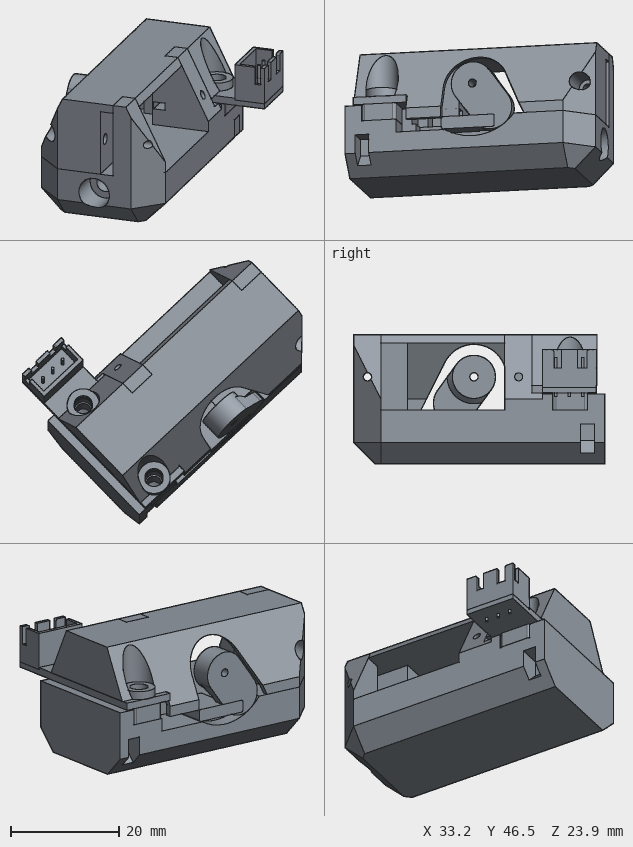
import cadquery as cq
import math

LENGTH = 46.5
WIDTH = 24.5
HEIGHT = 23.9
BOTTOM_CHAMFER = 3.9
FRONT_CHAMFER = 5.0
SHOULDER_Z = 12.0
TOP_INSET = 6.0
MIDDLE_X = WIDTH / 2
SLOPE_RUN = TOP_INSET / (HEIGHT - SHOULDER_Z)

SPLIT_Z = 10.0
COVER_END_Y = 45.05
DECK_TOP = 12.95
RIM_X = 20.45
CAVITY_X = 13.5
FOOT_SKIN = 0.25
ROOM_START_Y = 10.0
ROOM_RIB_X = 9.9
SHELL = 1.05
CAVITY_TOP = 22.35
CAVITY_END_Y = 33.0
TAB_X = 16.0
FRONT_TAB_END = FRONT_CHAMFER
REAR_TAB_START = 27.95

BOARD_RIGHT = 33.0
BOARD_Y = 34.9
BOARD_DEPTH = 10.0
BOARD_Z = 13.1
BOARD_TOP = 14.5
SCREW_ROW_Y = 40.1
SUPPORT_WIDTH = 6.5
SUPPORT_CORNER = 0.6
SUPPORT_START_Y = SCREW_ROW_Y - SUPPORT_WIDTH / 2
SUPPORT_END_Y = SCREW_ROW_Y + SUPPORT_WIDTH / 2
BOSS_DIAMETER = 6.0
BOSS_OVERHANG = 0.25
SCREW_INSET = BOSS_DIAMETER / 2 - BOSS_OVERHANG
BOSS_TOP = 16.1
BOARD_HOLE = 3.4
PILOT_HOLE = 2.8
PILOT_BOTTOM = 4.65
DRILL_TIP = 0.85
SCREW_CENTRES = [SCREW_INSET, WIDTH - SCREW_INSET]

CONN_LEFT = 27.15
CONN_BOTTOM = 14.15
CONN_TOP = 21.1
CONN_FLOOR = 15.35
CONN_BACK_WALL = 0.8
CONN_END_WALL = 0.65
CONN_FACE_WALL = 0.75
CONN_SLOT_WIDTH = 1.15
CONN_SLOT_Z = 17.75
FACE_GAPS = [(37.05, 38.5), (41.45, 43.2)]
FACE_ROUND = 0.35
CONTACT_X = 30.1
CONTACT_PITCH = 2.5
CONTACT_DIAMETER = 0.5
CONTACT_BOTTOM = 12.4
CONTACT_TOP = 19.65

PIVOT_Y = 22.27
PIVOT_Z = 16.1
PIVOT_HOLE = 1.5
LEVER_RADIUS = 4.0
LEVER_REACH = 6.0
LEVER_LEAN = 36.0
HUB_DEPTH = 4.15
ARM_ROOT_DEPTH = 3.0
ARM_DEPTH = 2.05
WINDOW_RADIUS = 6.0
SWEEP_RADIUS = 10.0

BLOCK_START_Y = 18.1
BLOCK_END_Y = 28.2
BLOCK_BOTTOM = 7.65
BLOCK_DEPTH = 8.0
BLOCK_ROUND = 0.35
POCKET_FLOOR = 7.55
POCKET_START_Y = 21.65
POCKET_STEP_Y = 34.15
POCKET_END_Y = 36.85
POCKET_SHALLOW = 5.0

SCREW_Z = PIVOT_Z
FRONT_SCREW_Y = 2.55
REAR_SCREW_Y = 30.55
SCREW_HEAD = 3.5
SCREW_CLEARANCE = 2.0
SCREW_PILOT = 1.5
SCREW_HEAD_DEPTH = 10.0
BORE_Z = 6.0
BORE_STEPS = [(6.0, 6.0), (3.4, 13.95), (2.5, 27.9)]
TIE_Y = 42.0
TIE_WIDTH = 2.55
TIE_TOP = 7.4
TIE_OUTER_Z = 1.95
TIE_RISE = 2.32


def box(x0, x1, y0, y1, z0, z1):
    """A box between the given limits."""
    return cq.Workplane("XY").box(x1 - x0, y1 - y0, z1 - z0, centered=False).translate((x0, y0, z0))


def cylinder_x(diameter, x0, x1, y, z):
    return cq.Workplane("YZ", origin=(x0, y, z)).circle(diameter / 2).extrude(x1 - x0)


def cylinder_y(diameter, y0, y1, x, z):
    return cq.Workplane("XZ", origin=(x, y0, z)).circle(diameter / 2).extrude(y0 - y1)


def cylinder_z(diameter, z0, z1, x, y):
    return cq.Workplane("XY", origin=(x, y, z0)).circle(diameter / 2).extrude(z1 - z0)


def make_plan(inset):
    """Outline seen along Z, with both front corners cut and the sides and front moved in."""
    return [
        (FRONT_CHAMFER, inset), (WIDTH - FRONT_CHAMFER, inset), (WIDTH - inset, FRONT_CHAMFER),
        (WIDTH - inset, LENGTH), (inset, LENGTH), (inset, FRONT_CHAMFER),
    ]


def make_envelope():
    """Outer shape shared by the base and the cover."""
    foot = (
        cq.Workplane("XY").polyline(make_plan(BOTTOM_CHAMFER)).close()
        .workplane(offset=BOTTOM_CHAMFER).polyline(make_plan(0)).close().loft(ruled=True)
    )
    section = [
        (0, BOTTOM_CHAMFER), (WIDTH, BOTTOM_CHAMFER), (WIDTH, SHOULDER_Z),
        (WIDTH - TOP_INSET, HEIGHT), (TOP_INSET, HEIGHT), (0, SHOULDER_Z),
    ]
    upper = cq.Workplane("XZ").polyline(section).close().extrude(-LENGTH)
    upper = upper.intersect(cq.Workplane("XY").polyline(make_plan(0)).close().extrude(HEIGHT))
    return foot.union(upper)


def make_tabs():
    """Upright tabs of the base that the cross screws enter; the rear one has a slotted foot."""
    front = box(TAB_X, WIDTH, 0, FRONT_TAB_END, SPLIT_Z, HEIGHT)
    rear = box(TAB_X, WIDTH, REAR_TAB_START, CAVITY_END_Y, SPLIT_Z, HEIGHT)
    foot = box(CAVITY_X, TAB_X, REAR_TAB_START, CAVITY_END_Y, SPLIT_Z, CAVITY_TOP)
    slot = box(CAVITY_X + FOOT_SKIN, TAB_X, REAR_TAB_START, CAVITY_END_Y, BOARD_Z, BOARD_TOP)
    return front.union(rear).union(foot.cut(slot))


def make_board_support():
    """Bar with rounded corners that carries the board across the full width."""
    bar = box(0, WIDTH, SUPPORT_START_Y, SUPPORT_END_Y, SPLIT_Z, BOARD_Z)
    bar = bar.edges("|Z").fillet(SUPPORT_CORNER)
    for x in SCREW_CENTRES:
        bar = bar.cut(cylinder_z(BOARD_HOLE, SPLIT_Z, BOARD_Z, x, SCREW_ROW_Y))
    return bar


def make_slider_block():
    """Round-edged block that narrows to a finger in the arm recess."""
    block = box(0, BLOCK_DEPTH, BLOCK_START_Y, BLOCK_END_Y, BLOCK_BOTTOM, SPLIT_Z)
    block = block.edges("|X").fillet(BLOCK_ROUND)
    return block.cut(box(ARM_ROOT_DEPTH, BLOCK_DEPTH, BLOCK_START_Y, POCKET_START_Y, BLOCK_BOTTOM, SPLIT_Z))


def make_tie_slots():
    """Slots in both long sides with a floor square to the bottom chamfer."""
    outer_x = BOTTOM_CHAMFER - TIE_OUTER_Z
    inner_x = outer_x + TIE_RISE
    section = [
        (0, TIE_TOP), (inner_x, TIE_TOP), (inner_x, TIE_OUTER_Z + TIE_RISE), (outer_x, TIE_OUTER_Z), (0, 0),
    ]
    left = cq.Workplane("XZ", origin=(0, TIE_Y, 0)).polyline(section).close().extrude(-TIE_WIDTH)
    right = left.mirror("YZ").translate((WIDTH, 0, 0))
    return left.union(right)


def make_arm_recess():
    """Round recess for the swinging arm, below the parting."""
    recess = cylinder_x(2 * SWEEP_RADIUS, 0, ARM_ROOT_DEPTH, PIVOT_Y, PIVOT_Z)
    return recess.intersect(box(0, ARM_ROOT_DEPTH, 0, LENGTH, 0, SPLIT_Z))


def make_block_pocket():
    """Pocket for the slider block that runs back to the board support."""
    pocket = box(0, BLOCK_DEPTH, POCKET_START_Y, POCKET_STEP_Y, POCKET_FLOOR, SPLIT_Z)
    return pocket.union(box(0, POCKET_SHALLOW, POCKET_STEP_Y, POCKET_END_Y, POCKET_FLOOR, DECK_TOP))


def make_pilot_holes():
    """Blind screw holes with a drill tip under the support bar."""
    holes = cq.Workplane("XY")
    for x in SCREW_CENTRES:
        hole = cylinder_z(PILOT_HOLE, PILOT_BOTTOM, SPLIT_Z, x, SCREW_ROW_Y)
        tip = cq.Solid.makeCone(0, PILOT_HOLE / 2, DRILL_TIP).translate(
            cq.Vector(x, SCREW_ROW_Y, PILOT_BOTTOM - DRILL_TIP))
        holes = holes.union(hole).union(cq.Workplane(tip))
    return holes


def make_base(envelope):
    """Lower housing with its screw tabs and the walls beside the support bar."""
    base = box(0, WIDTH, 0, LENGTH, 0, SPLIT_Z)
    base = base.union(make_tabs())
    base = base.union(box(RIM_X, WIDTH, CAVITY_END_Y, BOARD_Y, SPLIT_Z, BOARD_Z)).intersect(envelope)
    base = base.union(box(0, WIDTH, SUPPORT_END_Y, LENGTH, SPLIT_Z, DECK_TOP))
    base = base.union(box(POCKET_SHALLOW, WIDTH, BOARD_Y, SUPPORT_START_Y, SPLIT_Z, DECK_TOP))
    base = base.cut(make_pilot_holes()).cut(make_arm_recess()).cut(make_block_pocket()).cut(make_tie_slots())
    for y in (FRONT_SCREW_Y, REAR_SCREW_Y):
        base = base.cut(cylinder_x(SCREW_PILOT, TAB_X, WIDTH, y, SCREW_Z))
    for diameter, depth in BORE_STEPS:
        base = base.cut(cylinder_y(diameter, 0, depth, MIDDLE_X, BORE_Z))
    return base


def make_lever_window():
    """Opening around the lever: a circle joined to one upright and one sloped side."""
    lean = math.atan(SLOPE_RUN)
    tangent_y = PIVOT_Y - WINDOW_RADIUS * math.cos(lean)
    tangent_z = PIVOT_Z + WINDOW_RADIUS * math.sin(lean)
    corner_y = tangent_y - (tangent_z - SPLIT_Z) * SLOPE_RUN
    outline = (
        cq.Workplane("YZ").moveTo(corner_y, SPLIT_Z).lineTo(tangent_y, tangent_z)
        .threePointArc((PIVOT_Y, PIVOT_Z + WINDOW_RADIUS), (PIVOT_Y + WINDOW_RADIUS, PIVOT_Z))
        .lineTo(PIVOT_Y + WINDOW_RADIUS, SPLIT_Z).close()
    )
    return outline.extrude(CAVITY_X)


def make_room():
    """Hollow of the cover, parallel to its left side."""
    section = [
        (SHELL, SPLIT_Z), (CAVITY_X, SPLIT_Z), (CAVITY_X, CAVITY_TOP),
        (SHELL + (CAVITY_TOP - SHOULDER_Z) * SLOPE_RUN, CAVITY_TOP), (SHELL, SHOULDER_Z),
    ]
    room = cq.Workplane("XZ", origin=(0, ROOM_START_Y, 0)).polyline(section).close()
    room = room.extrude(ROOM_START_Y - BOARD_Y)
    return room.cut(box(ROOM_RIB_X, CAVITY_X, CAVITY_END_Y, BOARD_Y, SPLIT_Z, CAVITY_TOP))


def make_cover(envelope):
    """Upper housing with the raised screw bosses."""
    cover = box(0, WIDTH, 0, COVER_END_Y, SPLIT_Z, HEIGHT).intersect(envelope)
    cover = cover.cut(box(0, WIDTH, BOARD_Y, COVER_END_Y, SPLIT_Z, BOARD_TOP))
    cover = cover.cut(box(CAVITY_X, WIDTH, 0, CAVITY_END_Y, SPLIT_Z, CAVITY_TOP))
    cover = cover.cut(box(CAVITY_X, WIDTH, CAVITY_END_Y, BOARD_Y, SPLIT_Z, BOARD_TOP))
    cover = cover.cut(make_room())
    cover = cover.cut(make_tabs()).cut(make_lever_window())
    for x in SCREW_CENTRES:
        cover = cover.cut(cylinder_z(BOSS_DIAMETER, BOSS_TOP, HEIGHT, x, SCREW_ROW_Y))
        cover = cover.union(cylinder_z(BOSS_DIAMETER, BOARD_TOP, BOSS_TOP, x, SCREW_ROW_Y))
        cover = cover.cut(cylinder_z(BOARD_HOLE, BOARD_TOP, BOSS_TOP, x, SCREW_ROW_Y))
    cover = cover.cut(cylinder_x(SCREW_CLEARANCE, 0, CAVITY_X, FRONT_SCREW_Y, SCREW_Z))
    return cover.cut(cylinder_x(SCREW_HEAD, 0, SCREW_HEAD_DEPTH, FRONT_SCREW_Y, SCREW_Z))


def make_lever():
    """Round hub with a leaning arm whose back bevels down to a thinner end."""
    lean = math.radians(LEVER_LEAN)
    tip_y = PIVOT_Y - LEVER_REACH * math.sin(lean)
    tip_z = PIVOT_Z - LEVER_REACH * math.cos(lean)
    side_y = LEVER_RADIUS * math.cos(lean)
    side_z = LEVER_RADIUS * math.sin(lean)
    arm = (
        cq.Workplane("YZ").moveTo(PIVOT_Y - side_y, PIVOT_Z + side_z)
        .lineTo(tip_y - side_y, tip_z + side_z)
        .threePointArc(
            (tip_y - LEVER_RADIUS * math.sin(lean), tip_z - LEVER_RADIUS * math.cos(lean)),
            (tip_y + side_y, tip_z - side_z))
        .lineTo(PIVOT_Y + side_y, PIVOT_Z - side_z)
        .close().extrude(ARM_ROOT_DEPTH)
    )
    step = ARM_ROOT_DEPTH - ARM_DEPTH
    wide = LEVER_RADIUS + step
    cone_centre = cq.Vector(ARM_DEPTH, PIVOT_Y, PIVOT_Z)
    back_cone = cq.Solid.makeCone(wide, LEVER_RADIUS, step, cone_centre, cq.Vector(1, 0, 0))
    full_reach = cylinder_x(2 * (LEVER_REACH + LEVER_RADIUS), 0, ARM_DEPTH, PIVOT_Y, PIVOT_Z)
    arm = arm.intersect(full_reach.union(cq.Workplane(back_cone)))
    lever = arm.union(cylinder_x(2 * LEVER_RADIUS, 0, HUB_DEPTH, PIVOT_Y, PIVOT_Z))
    return lever.cut(cylinder_x(PIVOT_HOLE, 0, HUB_DEPTH, PIVOT_Y, PIVOT_Z))


def make_connector():
    """Open-topped three-way connector shell with its contacts."""
    back_y = BOARD_Y + BOARD_DEPTH
    inner_x = CONN_LEFT + CONN_BACK_WALL
    face_x = BOARD_RIGHT - CONN_FACE_WALL
    shell = box(CONN_LEFT, BOARD_RIGHT, BOARD_Y, back_y, CONN_BOTTOM, CONN_TOP)
    shell = shell.cut(box(
        inner_x, face_x, BOARD_Y + CONN_END_WALL, back_y - CONN_END_WALL, CONN_FLOOR, CONN_TOP))
    shell = shell.cut(box(face_x - CONN_SLOT_WIDTH, face_x, BOARD_Y, back_y, CONN_SLOT_Z, CONN_TOP))
    for y0, y1 in FACE_GAPS:
        shell = shell.cut(box(face_x, BOARD_RIGHT, y0, y1, CONN_SLOT_Z, CONN_TOP))
    for y in (FACE_GAPS[0][0], FACE_GAPS[-1][1]):
        corner = cq.selectors.NearestToPointSelector(((face_x + BOARD_RIGHT) / 2, y, CONN_TOP))
        shell = shell.edges(corner).fillet(FACE_ROUND)
    shell = shell.union(make_contacts(CONN_FLOOR, CONTACT_TOP))
    return shell.union(make_contacts(CONTACT_BOTTOM, CONN_BOTTOM))


def make_contacts(z0, z1):
    """The stretch of the three round contacts between two heights."""
    contacts = cq.Workplane("XY")
    for step in (-1, 0, 1):
        y = BOARD_Y + BOARD_DEPTH / 2 + step * CONTACT_PITCH
        contacts = contacts.union(cylinder_z(CONTACT_DIAMETER, z0, z1, CONTACT_X, y))
    return contacts


def make_board(connector):
    board = box(0, BOARD_RIGHT, BOARD_Y, BOARD_Y + BOARD_DEPTH, BOARD_Z, BOARD_TOP)
    for x in SCREW_CENTRES:
        board = board.cut(cylinder_z(BOARD_HOLE, BOARD_Z, BOARD_TOP, x, SCREW_ROW_Y))
    return board.cut(connector)


envelope = make_envelope()
base = make_base(envelope)
cover = make_cover(envelope)
slider_block = make_slider_block()
lever = make_lever().cut(slider_block)
connector = make_connector()
board_support = make_board_support()
board = make_board(connector)

result = cq.Compound.makeCompound(
    [base.val(), cover.val(), slider_block.val(), lever.val(), connector.val(), board.val(),
     board_support.val()]
)